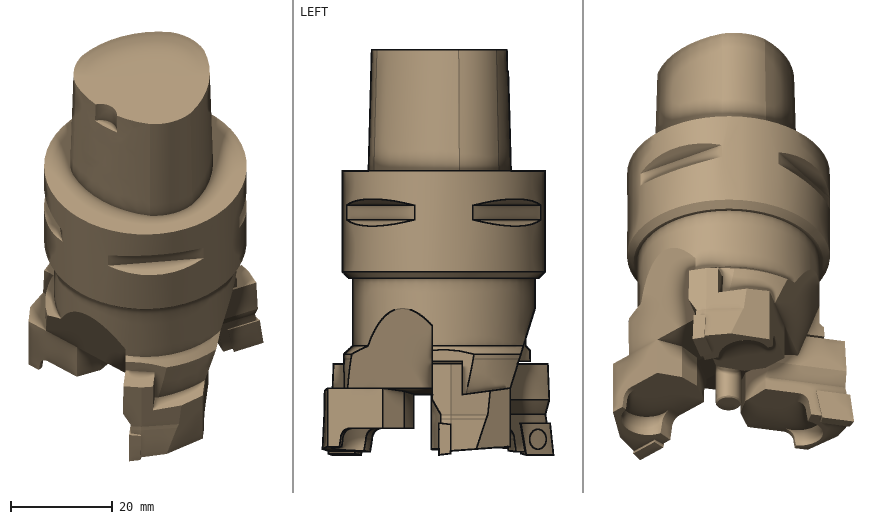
import cadquery as cq
import math

total_height = 80.0
flange_radius = 20.0
flange_top = 56.1
flange_bottom = 34.9
flange_chamfer = 1.3
neck_radius = 18.0
collar_radius = 19.8
collar_cone_top = 21.5
collar_top = 19.9
collar_band_bottom = 19.0
collar_foot_radius = 19.6
nozzle_radius = 5.0 / 2
nozzle_bottom = 1.0
nozzle_chamfer = 0.2

shank_mean_radius = 14.1
shank_lobe_height = 0.8
shank_radius_loss = 0.6
lobe_half_angle = 18.0
lobe_count = 3
lobe_pitch = 360 / lobe_count
first_lobe_angle = 90.0
keyway_radius = 3.2
keyway_depth = 4.3
keyway_center_y = -14.2

groove_z = 47.8
groove_floor_distance = 17.6
groove_floor_height = 2.8
groove_mouth_height = 5.4
groove_angles = (45, 135, 225, 315)

station_angles = (0.0, 123.0, 243.0)

rake_y = 2.2
lowered_rake_y = 0.6
rake_bevel_top = 10.9
rake_bevel_bottom = 8.1
upright_back_y = -3.6
back_y = -13.1
cartridge_top = 18.0
seat_low_z = 11.9
seat_high_z = 13.2
foot_bottom_front_z = 0.6
foot_bottom_back_z = 1.7

flank_start_y = -1.4
flank_slope = 0.2
back_corner_x = -19.0
back_bevel_slope = 0.68
inner_x = -4.4
inner_front_y = -4.4
inner_back_y = -8.6
inner_rake_x = -8.2
inner_back_x = -6.9
reach_levels = ((cartridge_top, 23.0), (7.9, 23.5), (7.1, 23.7), (0.0, 24.8))

arch_top = 5.3
arch_radius = 2.1
leg_inner_x = -16.2
leg_lean = 0.6
scoop_radius = 5.0
scoop_x = -15.6
scoop_y = -7.1

insert_top = 6.3
insert_rake_y = 1.0
insert_thickness = insert_rake_y - flank_start_y
insert_inner_top_x = -17.5
insert_inner_bottom_x = -18.8
insert_outer_top_x = -24.4
insert_outer_bottom_x = -25.2
insert_clearance_angle = 7.0
screw_radius = 3.9 / 2
screw_x = -21.5
screw_z = 3.1

pocket_ceiling = 18.5
relief_top_x = -18.8
relief_bottom_x = -19.1
relief_back_y = -9.6
gullet_slope = 0.31
outside = 32.0


def at_station(shape, angle):
    return shape.rotate((0, 0, 0), (0, 0, 1), angle)


def block(x_range, y_range, z_range):
    size = [high - low for low, high in (x_range, y_range, z_range)]
    corner = (x_range[0], y_range[0], z_range[0])
    return cq.Workplane("XY").box(*size, centered=False).translate(corner)


def side_prism(points):
    """Y-Z outline extruded across the whole part along X."""
    return cq.Workplane("YZ").polyline(points).close().extrude(outside, both=True)


def turned_body():
    """Flange, neck and collar, with the central nozzle below them."""
    chamfered_nozzle = nozzle_radius - nozzle_chamfer
    profile = [
        (0, nozzle_bottom),
        (chamfered_nozzle, nozzle_bottom),
        (nozzle_radius, nozzle_bottom + nozzle_chamfer),
        (nozzle_radius, seat_low_z),
        (collar_foot_radius, seat_low_z),
        (collar_radius, collar_band_bottom),
        (collar_radius, collar_top),
        (neck_radius, collar_cone_top),
        (neck_radius, flange_bottom),
        (flange_radius - flange_chamfer, flange_bottom),
        (flange_radius, flange_bottom + flange_chamfer),
        (flange_radius, flange_top),
        (0, flange_top),
    ]
    return cq.Workplane("XZ").polyline(profile).close().revolve(360, (0, 0), (0, 1))


def shank_point(mean_radius, angle):
    lobes = math.cos(lobe_count * math.radians(angle - first_lobe_angle))
    radius = mean_radius + shank_lobe_height * lobes
    return radius * math.cos(math.radians(angle)), radius * math.sin(math.radians(angle))


def shank_outline(workplane, mean_radius):
    """Three lobes and three flatter sides, each one arc."""
    outline = workplane.moveTo(*shank_point(mean_radius, first_lobe_angle - lobe_half_angle))
    for lobe in range(lobe_count):
        middle = first_lobe_angle + lobe * lobe_pitch
        lobe_end = middle + lobe_half_angle
        side_end = middle + lobe_pitch - lobe_half_angle
        outline = outline.threePointArc(
            shank_point(mean_radius, middle), shank_point(mean_radius, lobe_end)
        )
        outline = outline.threePointArc(
            shank_point(mean_radius, middle + lobe_pitch / 2), shank_point(mean_radius, side_end)
        )
    return outline.close()


def shank():
    base = shank_outline(cq.Workplane("XY", origin=(0, 0, flange_top)), shank_mean_radius)
    top_plane = base.workplane(offset=total_height - flange_top)
    solid = shank_outline(top_plane, shank_mean_radius - shank_radius_loss).loft(ruled=True)
    keyway = (
        cq.Workplane("XY", origin=(0, keyway_center_y, total_height - keyway_depth))
        .circle(keyway_radius)
        .extrude(keyway_depth)
    )
    return solid.cut(keyway)


def gripper_groove():
    """Flat-bottomed groove whose upper and lower walls flare out to the flange surface."""
    depth = flange_radius - groove_floor_distance
    flare = (groove_mouth_height - groove_floor_height) / 2
    half_floor = groove_floor_height / 2
    half_mouth = half_floor + flare * (outside - groove_floor_distance) / depth
    profile = [
        (groove_floor_distance, groove_z - half_floor),
        (outside, groove_z - half_mouth),
        (outside, groove_z + half_mouth),
        (groove_floor_distance, groove_z + half_floor),
    ]
    return cq.Workplane("XZ").polyline(profile).close().extrude(flange_radius, both=True)


def chip_space(angle, next_angle):
    """Space behind one cartridge, ending at the rake plane of the next one."""
    gullet_top_z = seat_high_z + (outside + back_y) / gullet_slope
    cut = side_prism(
        [
            (upright_back_y, seat_low_z),
            (back_y, seat_high_z),
            (-outside, gullet_top_z),
            (-outside, 0),
            (upright_back_y, 0),
        ]
    )
    behind_next_rake = block(
        (-2 * outside, outside), (-2 * outside, rake_y), (-outside, 3 * outside)
    )
    return at_station(cut, angle).cut(at_station(behind_next_rake, next_angle))


def collar_relief():
    """Slightly leaning flat on the collar beside the cartridge."""
    profile = [
        (relief_top_x, collar_cone_top),
        (relief_bottom_x, seat_low_z),
        (-outside, seat_low_z),
        (-outside, collar_cone_top),
    ]
    plane = cq.Workplane("XZ", origin=(0, rake_y, 0))
    return plane.polyline(profile).close().extrude(rake_y - relief_back_y)


def cartridge_pocket():
    """Slot for the upright of a cartridge, with some room above it, and the relief around it."""
    slot = plan_prism(seat_low_z, pocket_ceiling)
    slot = slot.intersect(
        block((-outside, 0), (upright_back_y, rake_y), (seat_low_z, pocket_ceiling))
    )
    return slot.union(collar_relief())


def make_holder():
    holder = turned_body().union(shank())
    for angle in groove_angles:
        holder = holder.cut(at_station(gripper_groove(), angle))
    for index, angle in enumerate(station_angles):
        next_angle = station_angles[(index + 1) % len(station_angles)]
        holder = holder.cut(chip_space(angle, next_angle))
        holder = holder.cut(at_station(cartridge_pocket(), angle))
    return holder


def plan_points(reach):
    """Plan of the cartridge; its flank runs from the outer strip to the back bevel."""
    flank_gap = reach + back_corner_x + flank_slope * (back_y - flank_start_y)
    bevel_length = flank_gap / (back_bevel_slope - flank_slope)
    bevel_y = back_y + bevel_length
    bevel_x = back_corner_x - back_bevel_slope * bevel_length
    return [
        (inner_rake_x, rake_y),
        (-reach, rake_y),
        (-reach, flank_start_y),
        (bevel_x, bevel_y),
        (back_corner_x, back_y),
        (inner_back_x, back_y),
        (inner_x, inner_back_y),
        (inner_x, inner_front_y),
    ]


def plan_prism(bottom, top):
    """Upright prism on the plan that the cartridge has at its top."""
    _, top_reach = reach_levels[0]
    points = plan_points(top_reach)
    plane = cq.Workplane("XY", origin=(0, 0, bottom))
    return plane.polyline(points).close().extrude(top - bottom)


def outer_form():
    """Cartridge plan, flaring outwards in three steps towards the cutting end."""
    solid = None
    for (top, top_reach), (bottom, bottom_reach) in zip(reach_levels, reach_levels[1:]):
        plane = cq.Workplane("XY", origin=(0, 0, bottom))
        section = plane.polyline(plan_points(bottom_reach)).close().workplane(offset=top - bottom)
        step = section.polyline(plan_points(top_reach)).close().loft(ruled=True)
        solid = step if solid is None else solid.union(step)
    return solid


def side_form():
    return side_prism(
        [
            (rake_y, cartridge_top),
            (rake_y, rake_bevel_top),
            (lowered_rake_y, rake_bevel_bottom),
            (lowered_rake_y, foot_bottom_front_z),
            (back_y, foot_bottom_back_z),
            (back_y, seat_high_z),
            (upright_back_y, seat_low_z),
            (upright_back_y, cartridge_top),
        ]
    )


def arch():
    """Space under the foot, rounded where the leg goes down."""
    arc_middle = (
        leg_inner_x + arch_radius * (1 - math.sqrt(0.5)),
        arch_top - arch_radius * (1 - math.sqrt(0.5)),
    )
    return (
        cq.Workplane("XZ")
        .moveTo(0, arch_top)
        .lineTo(leg_inner_x + arch_radius, arch_top)
        .threePointArc(arc_middle, (leg_inner_x, arch_top - arch_radius))
        .lineTo(leg_inner_x - leg_lean, 0)
        .lineTo(0, 0)
        .close()
        .extrude(outside, both=True)
    )


def scoop():
    """Upright round hollow in the inner side of the leg."""
    return cq.Workplane("XY").center(scoop_x, scoop_y).circle(scoop_radius).extrude(arch_top)


def screw():
    plane = cq.Workplane("XZ", origin=(screw_x, insert_rake_y, screw_z))
    return plane.circle(screw_radius).extrude(insert_thickness)


def insert_blank():
    """Four-sided insert, narrowing behind its rake face."""
    outline = [
        (insert_inner_top_x, insert_top),
        (insert_outer_top_x, insert_top),
        (insert_outer_bottom_x, 0),
        (insert_inner_bottom_x, 0),
    ]
    clearance = insert_thickness * math.tan(math.radians(insert_clearance_angle))
    rake_face = cq.Workplane("XZ", origin=(0, insert_rake_y, 0)).polyline(outline).close()
    back_plane = cq.Workplane("XZ", origin=(0, flank_start_y, 0))
    back_face = back_plane.polyline(outline).close().offset2D(-clearance, "intersection")
    return cq.Workplane(cq.Solid.makeLoft([rake_face.val(), back_face.val()], True))


def make_cartridge():
    """Cartridge with its insert seat, the insert screw being part of it."""
    solid = outer_form().intersect(side_form()).cut(arch()).cut(scoop())
    return solid.cut(insert_blank()).union(screw())


def make_insert():
    return insert_blank().cut(screw())


holder = make_holder()
cartridges = [at_station(make_cartridge(), angle) for angle in station_angles]
inserts = [at_station(make_insert(), angle) for angle in station_angles]

result = cq.Compound.makeCompound(
    [holder.val(), *[body.val() for body in cartridges], *[body.val() for body in inserts]]
)